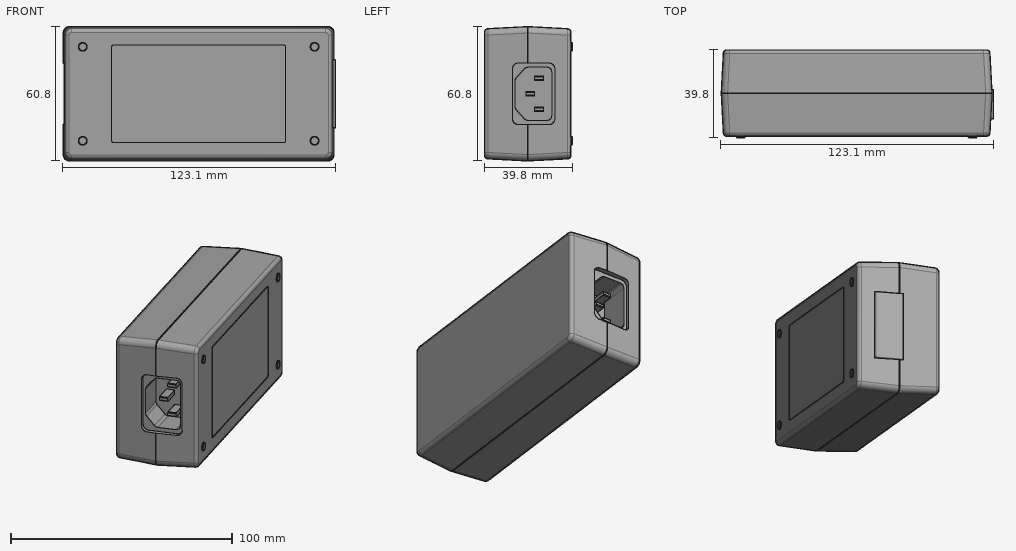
import cadquery as cq
import math

length = 123.1
depth = 39.8
height = 60.8

draft_angle = 3.0
foot_height = 0.6
plate_height = 0.6
case_length = length - plate_height
half_depth = (depth - foot_height) / 2
corner_radius = 3.0
rim_radius = 1.7

groove_width = 0.2
groove_depth = 0.2

label_length = 78.7
label_height = 44.2
label_radius = 1.0
label_depth = 0.2
foot_diameter = 4.0
foot_chamfer = 0.2
foot_spacing_x = 104.8
foot_spacing_z = 42.5

inlet_y = -2.7
socket_y = -2.6
flange_width = 19.2
flange_height = 27.8
flange_radius = 2.7
flange_recess = 2.5
socket_width = 16.6
socket_height = 24.0
socket_chamfer_y = 4.9
socket_chamfer_z = 5.4
socket_radius = 2.1
socket_depth = 14.8
pin_width = 4.0
pin_thickness = 2.0
pin_length = 9.8
pin_chamfer = 0.4
pin_pitch = 7.0
outer_pin_y = -5.2
earth_pin_y = -1.2

plate_width = 13.3
plate_length = 30.8
plate_y = -5.0
plate_edge_radius = 0.2
plate_root = 2.5

crest_loss = groove_width * math.tan(math.radians(draft_angle))
crest_length = case_length + crest_loss
crest_height = height + crest_loss

case_end = case_length / 2
front_face = -half_depth
flange_x = -case_end + flange_recess


def make_case():
    """Solid case: one tapered, rounded half mirrored about the parting plane."""
    half = cq.Workplane("XZ").rect(crest_length, crest_height).extrude(half_depth, taper=draft_angle)
    half = half.edges("not (|X or |Z)").fillet(corner_radius)
    half = half.faces("<Y").edges().fillet(rim_radius)
    return half.union(half.mirror("XZ"))


def make_parting_groove():
    """Oversize ring that cuts a fine groove around the case along the parting plane."""
    outer = cq.Workplane("XZ").rect(2 * length, 2 * height).extrude(groove_width / 2, both=True)
    inner = (
        cq.Workplane("XZ")
        .rect(case_length - 2 * groove_depth, height - 2 * groove_depth)
        .extrude(groove_width / 2, both=True)
        .edges("|Y").fillet(corner_radius - groove_depth)
    )
    return outer.cut(inner)


def make_label_recess():
    """Shallow rounded pocket for the label."""
    return (
        cq.Workplane("XZ", origin=(0, front_face, 0))
        .rect(label_length, label_height)
        .extrude(-label_depth)
        .edges("|Y").fillet(label_radius)
    )


def make_feet():
    """Four round feet standing on the -Y face."""
    return (
        cq.Workplane("XZ", origin=(0, front_face, 0))
        .rect(foot_spacing_x, foot_spacing_z, forConstruction=True)
        .vertices()
        .circle(foot_diameter / 2)
        .extrude(foot_height)
        .faces("<Y").edges().chamfer(foot_chamfer)
    )


def make_inlet_cavity():
    """Rounded flange recess with the deeper keyed socket behind it."""
    flange = (
        cq.Workplane("YZ", origin=(flange_x, inlet_y, 0))
        .rect(flange_width, flange_height)
        .extrude(-2 * flange_recess)
        .edges("|X").fillet(flange_radius)
    )
    half_width = socket_width / 2
    half_height = socket_height / 2
    socket = (
        cq.Workplane("YZ", origin=(flange_x, socket_y, 0))
        .moveTo(-half_width, -half_height)
        .lineTo(half_width - socket_chamfer_y, -half_height)
        .lineTo(half_width, -half_height + socket_chamfer_z)
        .lineTo(half_width, half_height - socket_chamfer_z)
        .lineTo(half_width - socket_chamfer_y, half_height)
        .lineTo(-half_width, half_height)
        .close()
        .extrude(socket_depth)
        .edges("|X").fillet(socket_radius)
    )
    return flange.union(socket)


def make_pins():
    """Three contact blades rising from the socket floor, with bevelled tips."""
    floor_x = flange_x + socket_depth
    pin_centers = [(outer_pin_y, pin_pitch), (earth_pin_y, 0), (outer_pin_y, -pin_pitch)]
    return (
        cq.Workplane("YZ", origin=(floor_x, 0, 0))
        .pushPoints(pin_centers)
        .rect(pin_width, pin_thickness)
        .extrude(-pin_length)
        .faces("<X").edges("|Y").chamfer(pin_chamfer)
    )


def make_end_plate():
    """Thin plate standing proud of the +X end, rooted inside the case."""
    return (
        cq.Workplane("YZ", origin=(case_end - plate_root, plate_y, 0))
        .rect(plate_width, plate_length)
        .extrude(plate_root + plate_height)
        .faces(">X").edges().fillet(plate_edge_radius)
    )


result = (
    make_case()
    .cut(make_parting_groove())
    .cut(make_label_recess())
    .union(make_feet())
    .cut(make_inlet_cavity())
    .union(make_pins())
    .union(make_end_plate())
)